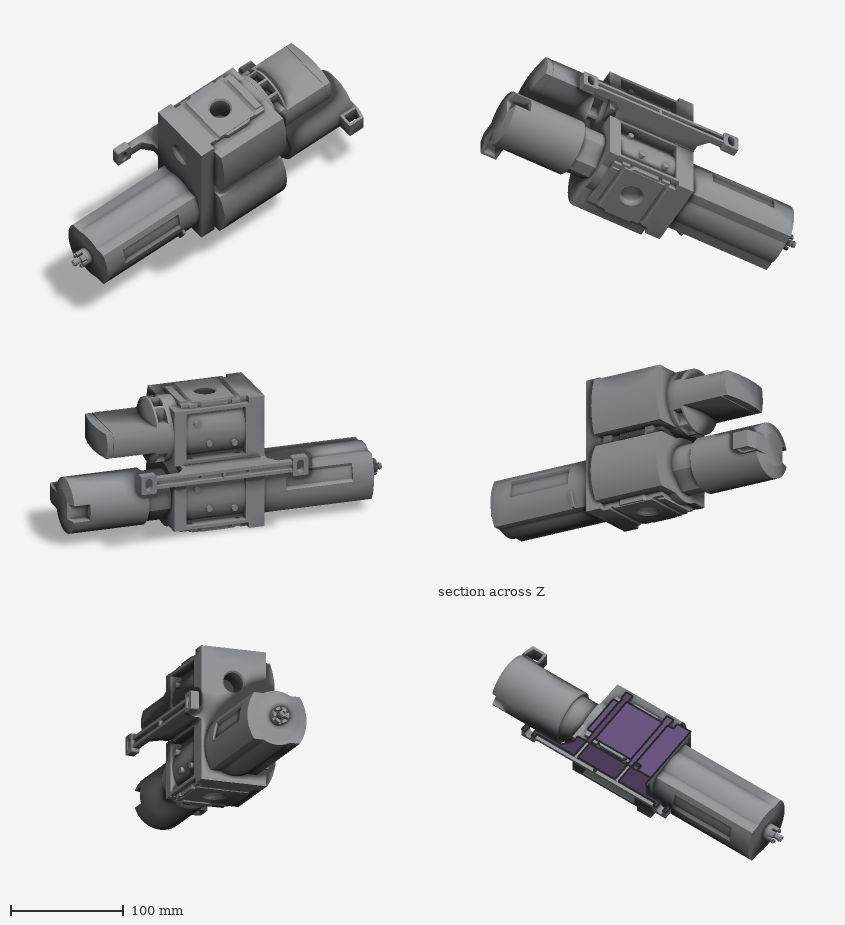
import cadquery as cq
import math


STACK_HEIGHT = 124.0
MODULE_HEIGHT = STACK_HEIGHT / 2
HALF_MODULE = MODULE_HEIGHT / 2
HALF_WIDTH = 31.0
FRONT_Y = -45.5
BACK_Y = 39.3
SPIGOT_RADIUS = 29.7
FRAME_HALF_HEIGHT = 25.8
PAD_HALF_LENGTH = 31.0
STRIP_DEPTH = 0.3
PAD_HALF_WIDTH = 24.5
CLAMP_Y = 22.2
GROOVE_WIDTH = 4.8
GROOVE_DEPTH = 1.8
PAD_CORNER_WIDTH = 4.5
PAD_CORNER_LENGTH = 9
LUG_HALF_LENGTH = 14.5
LUG_WIDTH = 2.5
LUG_SINK = 0.5
CATCH_INNER_Y = 16.2
CATCH_OUTER_Y = 24

WINDOW_HALF_LENGTH = 28.2
WINDOW_HALF_HEIGHT = 22.5
WINDOW_DEPTH = 10.2
CORE_RADIUS = 29.0
BOSS_DIAMETER = 5.5
BOSS_PLACES = [(17.5, 11.0), (6, -8.5), (-17.7, -10.5)]
FLOOR_HOLE_DIAMETER = 5.0
FLOOR_HOLE_DEPTH = 1.5
FLOOR_HOLE_X = -23.5

PORT_DIAMETER = 18.5
PORT_CHAMFER = 1.5
PORT_DEPTH = 24

VALVE_COVER_FLAT = 9.5
VALVE_COVER_REACH = 14.0
REGULATOR_COVER_FLAT = 7.2
REGULATOR_COVER_REACH = 15

COLLAR_RADIUS = 30
COLLAR_END_Y = 54.5
COLLAR_MIDWAY_Y = 58.5
COLLAR_CROWN_Y = 60
POCKET_START_Y = 43.5
POCKET_END_Y = 52.5
POCKET_FLOOR_Z = 13.8
INNER_POCKET_X = (1.2, 13.8)
OUTER_POCKET_X = (16.0, 33)
GRIP_HALF_HEIGHT = 11.7
GRIP_EDGE_Y = 102
GRIP_CROWN_Y = 105.7
GRIP_GROOVE_Y = 96
GRIP_GROOVE_WIDTH = 1.0
GRIP_GROOVE_DEPTH = 0.5

NECK_RADIUS = 22.2
NECK_SHOULDER_Z = -7.2
NECK_FOOT_HALF_WIDTH = 6
KNOB_RADIUS = 25.5
KNOB_START_Y = 60.7
KNOB_EDGE_Y = 131.2
KNOB_CROWN_Y = 134.2
KNOB_FACE_RADIUS = 15
KNOB_CHAMFER = 1.0
LOCK_SLOT_HEIGHT = 15.5
LOCK_SLOT_START_Y = 116.2
LOCK_SLOT_FLOOR_X = -13.5
LOOP_INNER_X = 27
LOOP_OUTER_X = 39
LOOP_END_Y = 131.8
LOOP_WALL = 2.5
LOOP_RISE_X = 28.8

BOWL_END_Y = -149.5
BOWL_HALF_WIDTH = 28.2
BOWL_CORNER_X = 22.0
BOWL_FLAT_Z = 21.5
BOWL_CROWN_X = 12.5
BOWL_CROWN_Z = 25.0
SIGHT_START_Y = -67.0
SIGHT_END_Y = -129.7
SIGHT_TOP_Z = 16.2
SIGHT_BOTTOM_Z = -0.5
SIGHT_SLOPE_TOP = 3
SIGHT_SLOPE_BOTTOM = 2.5
SIGHT_DEPTH = 2.5
CONE_DIAMETER = 43.8
CONE_FACE_DIAMETER = 24
CONE_HEIGHT = 1.0
LATCH_Y = -64.0
LATCH_LENGTH = 2.5
LATCH_OUTLINE = [(22.2, -21.5), (25.2, -21), (30.5, -9), (27, -6)]

NUT_DIAMETER = 15
NUT_BORE = 10.0
NUT_END_Y = -160.5
NUT_SLOT_DEPTH = 4.8
NUT_SLOT_WIDTH = 2.5
NUT_SLOT_COUNT = 6
STEM_DIAMETER = 5.5
STEM_BORE = 3.3
STEM_BORE_DEPTH = 3
STEM_END_Y = -166.0
STEM_COLLAR_DIAMETER = 6.3
STEM_COLLAR_Y = (-164.5, -163.7)

EAR_OUTER_X = -54
EAR_INNER_X = -46.5
EAR_OUTER_Y = 78.7
EAR_LENGTH = 14.7
EAR_HEIGHT = 17.5
EAR_ROUNDING = 1.8
EAR_SLOT_WIDTH = 6.5
EAR_SLOT_HEIGHT = 12
ARM_OUTER_X = -53.2
WEB_THICKNESS = 10.2
WEB_BACK_Y = 33.5
WEB_RAMP_X = -37.8
WEB_RAMP_LENGTH = 7.2
ARM_GROOVE_HEIGHT = 4.5
ARM_GROOVE_DEPTH = 3
ARM_GROOVE_RIB = 2.5
SCREW_HOLE_DIAMETER = 3.3
STOP_LENGTH = 19.8
STOP_THICKNESS = 1.0
STOP_HEIGHT = 12

CLAMP_END_X = 32.7
CLAMP_HEAD_HEIGHT = 9
CLAMP_HEAD_WIDTH = 7.5


def block(x_range, y_range, z_range):
    """Box between two limits along each axis."""
    lows = [min(r) for r in (x_range, y_range, z_range)]
    sizes = [abs(r[1] - r[0]) for r in (x_range, y_range, z_range)]
    return cq.Workplane("XY").box(*sizes, centered=False).translate(tuple(lows))


def section(y):
    """Workplane at height y whose local axes are X and Z; it extrudes toward -Y."""
    return cq.Workplane("XZ", origin=(0, y, 0))


def rod(radius, y_start, y_end):
    """Cylinder on the module axis."""
    return section(max(y_start, y_end)).circle(radius).extrude(abs(y_end - y_start))


def pad_side():
    """Mating pad on the upper face, with clamp grooves, corner steps, lugs and catches."""
    floor = FRAME_HALF_HEIGHT - STRIP_DEPTH
    across = (-PAD_HALF_WIDTH, PAD_HALF_WIDTH)
    pad = block(across, (-PAD_HALF_LENGTH, PAD_HALF_LENGTH), (0, HALF_MODULE))
    for x_side in (-1, 1):
        pad = pad.cut(
            block(
                (x_side * PAD_HALF_WIDTH, x_side * (PAD_HALF_WIDTH - PAD_CORNER_WIDTH)),
                (PAD_HALF_LENGTH - PAD_CORNER_LENGTH, PAD_HALF_LENGTH),
                (HALF_MODULE - GROOVE_DEPTH, HALF_MODULE),
            )
        )
        lug = (
            cq.Workplane("XY", origin=(0, 0, floor - STRIP_DEPTH))
            .polyline(
                [
                    (x_side * PAD_HALF_WIDTH, -LUG_HALF_LENGTH),
                    (x_side * (PAD_HALF_WIDTH + LUG_WIDTH), LUG_WIDTH - LUG_HALF_LENGTH),
                    (x_side * (PAD_HALF_WIDTH + LUG_WIDTH), LUG_HALF_LENGTH - LUG_WIDTH),
                    (x_side * PAD_HALF_WIDTH, LUG_HALF_LENGTH),
                ]
            )
            .close()
            .extrude(HALF_MODULE - LUG_SINK - floor + STRIP_DEPTH)
        )
        pad = pad.union(lug)
    catch_x = (-PAD_HALF_WIDTH - LUG_WIDTH, -PAD_HALF_WIDTH)
    for y_side in (-1, 1):
        catch_y = (y_side * CATCH_INNER_Y, y_side * CATCH_OUTER_Y)
        pad = pad.union(block(catch_x, catch_y, (0, HALF_MODULE - GROOVE_DEPTH)))
        pad = pad.cut(clamp_groove().translate((0, y_side * CLAMP_Y, HALF_MODULE)))
    return pad


def clamp_groove():
    """Half of the channel of one clamp, sunk below Z = 0 and centred on Y = 0."""
    return (
        cq.Workplane("YZ", origin=(-HALF_WIDTH, 0, 0))
        .moveTo(-GROOVE_WIDTH / 2, 0)
        .threePointArc((0, -GROOVE_DEPTH), (GROOVE_WIDTH / 2, 0))
        .close()
        .extrude(2 * HALF_WIDTH)
    )


def side_window():
    """Recess in the -X face around a rounded core and three bosses, with two blind holes in its floor."""
    window = block(
        (-HALF_WIDTH, WINDOW_DEPTH - HALF_WIDTH),
        (-WINDOW_HALF_LENGTH, WINDOW_HALF_LENGTH),
        (-WINDOW_HALF_HEIGHT, WINDOW_HALF_HEIGHT),
    )
    core = rod(CORE_RADIUS, -WINDOW_HALF_LENGTH, WINDOW_HALF_LENGTH)
    bosses = (
        cq.Workplane("YZ", origin=(-HALF_WIDTH, 0, 0))
        .pushPoints(BOSS_PLACES)
        .circle(BOSS_DIAMETER / 2)
        .extrude(WINDOW_DEPTH)
    )
    floor_holes = (
        cq.Workplane("XY", origin=(0, 0, -WINDOW_HALF_HEIGHT - FLOOR_HOLE_DEPTH))
        .pushPoints([(FLOOR_HOLE_X, -CLAMP_Y), (FLOOR_HOLE_X, CLAMP_Y)])
        .circle(FLOOR_HOLE_DIAMETER / 2)
        .extrude(FLOOR_HOLE_DEPTH)
    )
    return window.cut(core).cut(bosses).union(floor_holes)


def cover(flat, reach):
    """Domed cover on the +X side."""
    flat_x = HALF_WIDTH + flat
    return (
        section(BACK_Y)
        .moveTo(HALF_WIDTH, -FRAME_HALF_HEIGHT)
        .lineTo(flat_x, -FRAME_HALF_HEIGHT)
        .threePointArc((HALF_WIDTH + reach, 0), (flat_x, FRAME_HALF_HEIGHT))
        .lineTo(HALF_WIDTH, FRAME_HALF_HEIGHT)
        .close()
        .extrude(BACK_Y + PAD_HALF_LENGTH)
    )


def module(cover_flat, cover_reach):
    """Front block, frame, pads, cover and window that both modules share."""
    width = (-HALF_WIDTH, HALF_WIDTH)
    strip_level = FRAME_HALF_HEIGHT - STRIP_DEPTH
    body = block(width, (FRONT_Y, -PAD_HALF_LENGTH), (-HALF_MODULE, HALF_MODULE))
    body = body.union(block(width, (-PAD_HALF_LENGTH, PAD_HALF_LENGTH), (-strip_level, strip_level)))
    body = body.union(block(width, (PAD_HALF_LENGTH, BACK_Y), (-FRAME_HALF_HEIGHT, FRAME_HALF_HEIGHT)))
    body = body.union(rod(SPIGOT_RADIUS, PAD_HALF_LENGTH, BACK_Y))
    body = body.union(cover(cover_flat, cover_reach))
    pad = pad_side()
    body = body.union(pad).union(pad.mirror("XY"))
    return body.cut(side_window())


def port():
    """Blind port with a chamfered mouth, opening at Z = 0 and going down."""
    radius = PORT_DIAMETER / 2
    return (
        cq.Workplane("XZ")
        .polyline(
            [
                (0, 0),
                (radius + PORT_CHAMFER, 0),
                (radius, -PORT_CHAMFER),
                (radius, -PORT_DEPTH),
                (0, -PORT_DEPTH),
            ]
        )
        .close()
        .revolve(360, (0, 0), (0, 1))
    )


def valve_collar():
    """Round collar with a domed back face and a ring of pockets above and below the grip."""
    dome = (
        cq.Workplane("XY")
        .moveTo(0, COLLAR_END_Y)
        .lineTo(COLLAR_RADIUS, COLLAR_END_Y)
        .threePointArc((COLLAR_RADIUS / 2, COLLAR_MIDWAY_Y), (0, COLLAR_CROWN_Y))
        .close()
        .revolve(360, (0, 0), (0, 1))
    )
    collar = rod(COLLAR_RADIUS, BACK_Y, COLLAR_END_Y).union(dome)
    pocket_y = (POCKET_START_Y, POCKET_END_Y)
    for x_side in (-1, 1):
        for z_side in (-1, 1):
            pocket_z = (z_side * POCKET_FLOOR_Z, z_side * COLLAR_RADIUS)
            for near, far in (INNER_POCKET_X, OUTER_POCKET_X):
                collar = collar.cut(block((x_side * near, x_side * far), pocket_y, pocket_z))
    return collar


def valve_grip():
    """Flat grip with round flanks, a gently arched end and a fine groove around it."""
    outline = (
        cq.Workplane("XY", origin=(0, 0, -GRIP_HALF_HEIGHT))
        .moveTo(-COLLAR_RADIUS, BACK_Y)
        .lineTo(COLLAR_RADIUS, BACK_Y)
        .lineTo(COLLAR_RADIUS, GRIP_EDGE_Y)
        .threePointArc((0, GRIP_CROWN_Y), (-COLLAR_RADIUS, GRIP_EDGE_Y))
        .close()
        .extrude(2 * GRIP_HALF_HEIGHT)
    )
    grip = outline.intersect(rod(COLLAR_RADIUS, BACK_Y, GRIP_CROWN_Y))
    groove_y = (GRIP_GROOVE_Y, GRIP_GROOVE_Y + GRIP_GROOVE_WIDTH)
    groove_floor_z = GRIP_HALF_HEIGHT - GRIP_GROOVE_DEPTH
    kept_core = rod(COLLAR_RADIUS - GRIP_GROOVE_DEPTH, *groove_y).intersect(
        block((-COLLAR_RADIUS, COLLAR_RADIUS), groove_y, (-groove_floor_z, groove_floor_z))
    )
    return grip.cut(rod(COLLAR_RADIUS + 3, *groove_y).cut(kept_core))


def shutoff_valve():
    body = module(VALVE_COVER_FLAT, VALVE_COVER_REACH)
    body = body.union(valve_collar().union(valve_grip()))
    body = body.cut(port().translate((0, 0, HALF_MODULE)))
    body = body.cut(port().rotate((0, 0, 0), (1, 0, 0), 90).translate((0, FRONT_Y, 0)))
    return body.translate((0, 0, HALF_MODULE))


def regulator_neck():
    """Neck that is round above and tapers with flat flanks below."""
    shoulder_x = math.sqrt(NECK_RADIUS**2 - NECK_SHOULDER_Z**2)
    return (
        section(KNOB_START_Y)
        .moveTo(-shoulder_x, NECK_SHOULDER_Z)
        .threePointArc((0, NECK_RADIUS), (shoulder_x, NECK_SHOULDER_Z))
        .lineTo(NECK_FOOT_HALF_WIDTH, -NECK_RADIUS)
        .lineTo(-NECK_FOOT_HALF_WIDTH, -NECK_RADIUS)
        .close()
        .extrude(KNOB_START_Y - BACK_Y)
    )


def padlock_plate(start_x, end_x, start_y, inset):
    """Plate in the plane of the lock slot whose end slopes down toward +X, lowered by the inset."""
    return (
        cq.Workplane("XY", origin=(0, 0, -LOCK_SLOT_HEIGHT / 2))
        .polyline(
            [
                (start_x, start_y),
                (end_x, start_y),
                (end_x, LOOP_END_Y - inset),
                (LOOP_RISE_X, KNOB_CROWN_Y - inset),
                (start_x, KNOB_CROWN_Y - inset),
            ]
        )
        .close()
        .extrude(LOCK_SLOT_HEIGHT)
    )


def regulator_knob():
    """Round knob with a lock slot on one side and a padlock loop on the other."""
    knob = (
        cq.Workplane("XY")
        .polyline(
            [
                (0, KNOB_START_Y),
                (KNOB_RADIUS - KNOB_CHAMFER, KNOB_START_Y),
                (KNOB_RADIUS, KNOB_START_Y + KNOB_CHAMFER),
                (KNOB_RADIUS, KNOB_EDGE_Y),
                (KNOB_FACE_RADIUS, KNOB_CROWN_Y),
                (0, KNOB_CROWN_Y),
            ]
        )
        .close()
        .revolve(360, (0, 0), (0, 1))
    )
    slot_z = (-LOCK_SLOT_HEIGHT / 2, LOCK_SLOT_HEIGHT / 2)
    knob = knob.cut(block((-KNOB_RADIUS, LOCK_SLOT_FLOOR_X), (LOCK_SLOT_START_Y, KNOB_CROWN_Y), slot_z))
    loop = padlock_plate(0, LOOP_OUTER_X, LOCK_SLOT_START_Y, 0)
    opening = padlock_plate(
        LOOP_INNER_X, LOOP_OUTER_X - LOOP_WALL, LOCK_SLOT_START_Y + LOOP_WALL, LOOP_WALL
    )
    return knob.union(loop).cut(opening)


def sight_recess():
    """Recess on the -X flank of the bowl, with a floor parallel to the flank and sloped edges."""
    bulge = BOWL_HALF_WIDTH - BOWL_CORNER_X
    flank_radius = (BOWL_FLAT_Z**2 + bulge**2) / (2 * bulge)

    def flank_point(z, depth):
        reach = math.sqrt((flank_radius - depth) ** 2 - z**2)
        return (flank_radius - BOWL_HALF_WIDTH - reach, z)

    floor_top = SIGHT_TOP_Z - SIGHT_SLOPE_TOP
    floor_bottom = SIGHT_BOTTOM_Z + SIGHT_SLOPE_BOTTOM
    return (
        section(SIGHT_START_Y)
        .moveTo(-BOWL_HALF_WIDTH, SIGHT_TOP_Z)
        .lineTo(*flank_point(SIGHT_TOP_Z, 0))
        .lineTo(*flank_point(floor_top, SIGHT_DEPTH))
        .threePointArc(
            flank_point((floor_top + floor_bottom) / 2, SIGHT_DEPTH),
            flank_point(floor_bottom, SIGHT_DEPTH),
        )
        .lineTo(-BOWL_HALF_WIDTH, SIGHT_BOTTOM_Z)
        .close()
        .extrude(SIGHT_START_Y - SIGHT_END_Y)
    )


def bowl():
    """Filter bowl with bulged sides, crowned top and bottom, and a sight recess on each side."""
    body = (
        section(FRONT_Y)
        .moveTo(-BOWL_CORNER_X, BOWL_FLAT_Z)
        .lineTo(-BOWL_CROWN_X, BOWL_FLAT_Z)
        .threePointArc((0, BOWL_CROWN_Z), (BOWL_CROWN_X, BOWL_FLAT_Z))
        .lineTo(BOWL_CORNER_X, BOWL_FLAT_Z)
        .threePointArc((BOWL_HALF_WIDTH, 0), (BOWL_CORNER_X, -BOWL_FLAT_Z))
        .lineTo(BOWL_CROWN_X, -BOWL_FLAT_Z)
        .threePointArc((0, -BOWL_CROWN_Z), (-BOWL_CROWN_X, -BOWL_FLAT_Z))
        .lineTo(-BOWL_CORNER_X, -BOWL_FLAT_Z)
        .threePointArc((-BOWL_HALF_WIDTH, 0), (-BOWL_CORNER_X, BOWL_FLAT_Z))
        .close()
        .extrude(FRONT_Y - BOWL_END_Y)
    )
    sight = sight_recess()
    body = body.cut(sight).cut(sight.mirror("YZ"))
    latch = section(LATCH_Y + LATCH_LENGTH / 2).polyline(LATCH_OUTLINE).close().extrude(LATCH_LENGTH)
    return body.union(latch)


def drain():
    """Shallow cone on the bowl end, a castellated drain nut and the drain stem."""
    cone = (
        cq.Workplane("XY")
        .polyline(
            [
                (0, BOWL_END_Y),
                (CONE_DIAMETER / 2, BOWL_END_Y),
                (CONE_FACE_DIAMETER / 2, BOWL_END_Y - CONE_HEIGHT),
                (0, BOWL_END_Y - CONE_HEIGHT),
            ]
        )
        .close()
        .revolve(360, (0, 0), (0, 1))
    )
    slot_start = NUT_END_Y + NUT_SLOT_DEPTH
    nut = rod(NUT_DIAMETER / 2, BOWL_END_Y, NUT_END_Y)
    nut = nut.cut(rod(NUT_BORE / 2, slot_start, NUT_END_Y))
    slot = block(
        (-NUT_SLOT_WIDTH / 2, NUT_SLOT_WIDTH / 2),
        (slot_start, NUT_END_Y),
        (0, NUT_DIAMETER / 2),
    )
    for index in range(NUT_SLOT_COUNT):
        nut = nut.cut(slot.rotate((0, 0, 0), (0, 1, 0), index * 360 / NUT_SLOT_COUNT))
    stem = rod(STEM_DIAMETER / 2, BOWL_END_Y, STEM_END_Y)
    stem = stem.union(rod(STEM_COLLAR_DIAMETER / 2, *STEM_COLLAR_Y))
    stem = stem.cut(rod(STEM_BORE / 2, STEM_END_Y + STEM_BORE_DEPTH, STEM_END_Y))
    return cone.union(nut).union(stem)


def filter_regulator():
    body = module(REGULATOR_COVER_FLAT, REGULATOR_COVER_REACH)
    body = body.union(regulator_neck()).union(regulator_knob())
    body = body.union(bowl()).union(drain())
    body = body.cut(port().mirror("XY").translate((0, 0, -HALF_MODULE)))
    return body.translate((0, 0, -HALF_MODULE))


def wall_bracket():
    """Arm with two slotted ears and a web that reaches the modules."""
    half_web = WEB_THICKNESS / 2
    ear_inner_y = EAR_OUTER_Y - EAR_LENGTH
    body = (
        cq.Workplane("XY", origin=(0, 0, -half_web))
        .polyline(
            [
                (ARM_OUTER_X, -ear_inner_y),
                (EAR_INNER_X, -ear_inner_y),
                (EAR_INNER_X, FRONT_Y - WEB_RAMP_LENGTH),
                (WEB_RAMP_X, FRONT_Y),
                (-HALF_WIDTH, FRONT_Y),
                (-HALF_WIDTH, WEB_BACK_Y),
                (WEB_RAMP_X, WEB_BACK_Y),
                (EAR_INNER_X, WEB_BACK_Y + WEB_RAMP_LENGTH),
                (EAR_INNER_X, ear_inner_y),
                (ARM_OUTER_X, ear_inner_y),
            ]
        )
        .close()
        .extrude(WEB_THICKNESS)
    )
    groove_z = (-ARM_GROOVE_HEIGHT / 2, ARM_GROOVE_HEIGHT / 2)
    groove_x = (ARM_OUTER_X, ARM_OUTER_X + ARM_GROOVE_DEPTH)
    hole = cq.Workplane("YZ", origin=(ARM_OUTER_X, 0, 0)).circle(SCREW_HOLE_DIAMETER / 2)
    hole = hole.extrude(-HALF_WIDTH - ARM_OUTER_X)
    ear = (
        block((EAR_OUTER_X, EAR_INNER_X), (ear_inner_y, EAR_OUTER_Y), (-EAR_HEIGHT / 2, EAR_HEIGHT / 2))
        .edges("|X")
        .fillet(EAR_ROUNDING)
        .faces("<X")
        .workplane(centerOption="CenterOfBoundBox")
        .slot2D(EAR_SLOT_HEIGHT, EAR_SLOT_WIDTH, 90)
        .cutThruAll()
    )
    for y_side in (-1, 1):
        body = body.cut(block(groove_x, (y_side * ARM_GROOVE_RIB / 2, y_side * ear_inner_y), groove_z))
        body = body.cut(hole.translate((0, y_side * CLAMP_Y, 0)))
    stop = block(
        (-HALF_WIDTH - STOP_THICKNESS, -HALF_WIDTH),
        (FRONT_Y, FRONT_Y + STOP_LENGTH),
        (-STOP_HEIGHT / 2, STOP_HEIGHT / 2),
    )
    return body.union(ear).union(ear.mirror("XZ")).union(stop)


def clamp(y):
    """Bar that fills the facing grooves of both modules, with a head at its +X end."""
    half = clamp_groove()
    head = block(
        (PAD_HALF_WIDTH, CLAMP_END_X),
        (-CLAMP_HEAD_WIDTH / 2, CLAMP_HEAD_WIDTH / 2),
        (-CLAMP_HEAD_HEIGHT / 2, CLAMP_HEAD_HEIGHT / 2),
    )
    return half.union(half.mirror("XY")).union(head).translate((0, y, 0))


valve = shutoff_valve()
regulator = filter_regulator()
bracket = wall_bracket()
clamps = [clamp(y) for y in (-CLAMP_Y, CLAMP_Y)]

result = cq.Compound.makeCompound(
    [valve.val(), regulator.val(), bracket.val(), *[bar.val() for bar in clamps]]
)